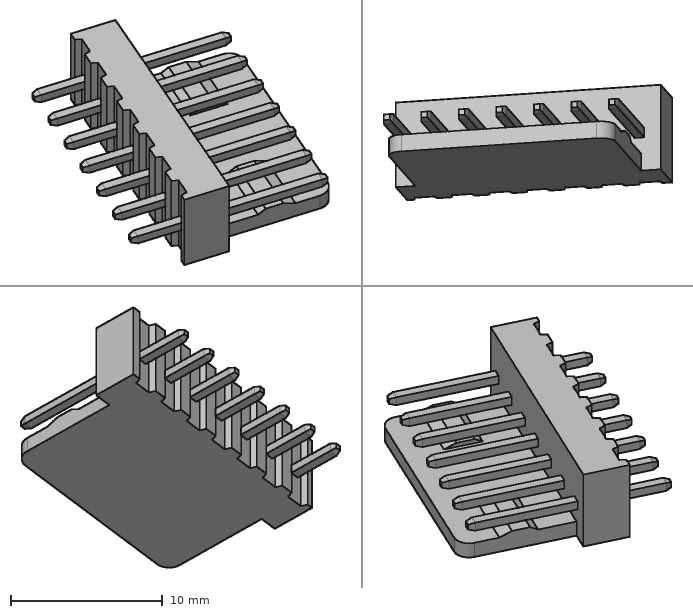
import cadquery as cq


body_length = 17.94
body_depth = 3.25
body_height = 5.8

pin_count = 7
pin_row_span = 15.25
pin_pitch = pin_row_span / (pin_count - 1)
pin_row_offset = 0.09
pin_width = 0.65
pin_tip_width = 0.4
pin_height = 2.58
pin_front_y = -3.35
pin_back_y = 10.87
front_taper = 0.41
back_taper = 0.45

groove_mouth = 1.6
groove_floor = 1.27
groove_depth = 0.45

plate_width = 15.3
plate_thickness = 1.15
plate_back_y = 11.45
plate_corner_radius = 1.04

bump_gap = 6.12
bump_rise = 0.32
bump_foot_depth = 2.7
bump_crest_depth = 1.27
bump_back_inset = 2.8
bump_back_ramp = 0.88

pin_positions = [pin_row_offset + (i - (pin_count - 1) / 2) * pin_pitch for i in range(pin_count)]


def make_body():
    block = cq.Workplane("XY").box(body_length, body_depth, body_height, centered=(True, False, False))
    for x in pin_positions:
        groove = (
            cq.Workplane("XY")
            .polyline([
                (x - groove_mouth / 2, 0),
                (x + groove_mouth / 2, 0),
                (x + groove_floor / 2, groove_depth),
                (x - groove_floor / 2, groove_depth),
            ])
            .close()
            .extrude(body_height)
        )
        block = block.cut(groove)
    return block


def make_plate():
    plate_length = plate_back_y - body_depth
    return (
        cq.Workplane("XY")
        .box(plate_width, plate_length, plate_thickness, centered=(True, False, False))
        .translate((0, body_depth, 0))
        .edges("|Z and >Y")
        .fillet(plate_corner_radius)
    )


def make_bump(side):
    """Trapezoidal ridge on the plate; side is -1 for the -X end and +1 for the +X end."""
    bump_width = (plate_width - bump_gap) / 2
    middle_x = side * (plate_width + bump_gap) / 4
    back_foot = plate_back_y - bump_back_inset
    back_crest = back_foot - bump_back_ramp
    crest_z = plate_thickness + bump_rise
    return (
        cq.Workplane("YZ", origin=(middle_x, 0, 0))
        .moveTo(back_foot, 0)
        .lineTo(back_foot, plate_thickness)
        .lineTo(back_crest, crest_z)
        .lineTo(back_crest - bump_crest_depth, crest_z)
        .lineTo(back_foot - bump_foot_depth, plate_thickness)
        .lineTo(back_foot - bump_foot_depth, 0)
        .close()
        .extrude(bump_width / 2, both=True)
    )


def make_pin_section(start_y, end_y, start_width, end_width):
    """Square bar along +Y that changes evenly from one width to the other."""
    return (
        cq.Workplane("XZ", origin=(0, start_y, pin_height))
        .rect(start_width, start_width)
        .workplane(offset=start_y - end_y)
        .rect(end_width, end_width)
        .loft(ruled=True)
    )


def make_pin():
    front_shoulder = pin_front_y + front_taper
    back_shoulder = pin_back_y - back_taper
    shaft = make_pin_section(front_shoulder, back_shoulder, pin_width, pin_width)
    front_tip = make_pin_section(pin_front_y, front_shoulder, pin_tip_width, pin_width)
    back_tip = make_pin_section(back_shoulder, pin_back_y, pin_width, pin_tip_width)
    return shaft.union(front_tip).union(back_tip)


result = make_body().union(make_plate())
for side in (-1, 1):
    result = result.union(make_bump(side))

pin = make_pin()
for x in pin_positions:
    result = result.union(pin.translate((x, 0, 0)))